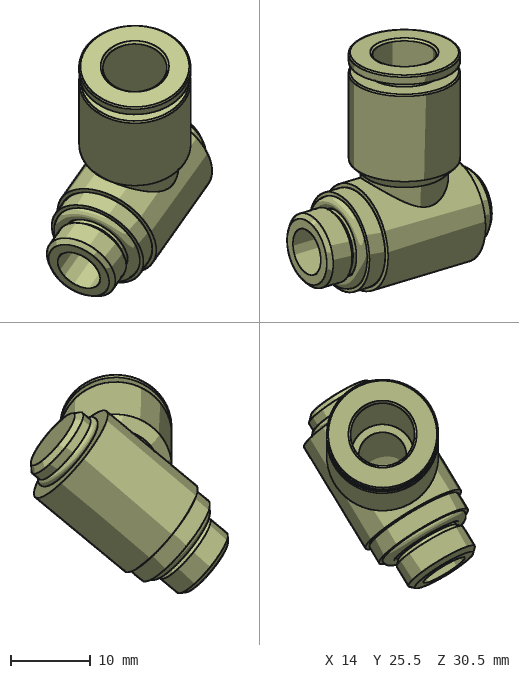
import cadquery as cq


bore_diameter = 6.0

body_diameter = 14.0
body_half_length = 7.5

thread_end_y = -15.0
thread_diameter = 9.73
thread_minor_diameter = 8.57
thread_chamfer = (thread_diameter - thread_minor_diameter) / 2
thread_start_y = -10.95
flange_diameter = 13.0
flange_face_y = -10.0
flange_chamfer = 0.1
seal_ring_diameter = 12.0
seal_ring_section = 1.6
seal_ring_y = -10.1

spigot_diameter = 9.85
spigot_end_y = 10.5
spigot_chamfer = 0.75
spigot_ring_diameter = 10.85
spigot_ring_section = 1.05
spigot_ring_y = 8.0

stem_diameter = 11.0
barrel_diameter = 14.0
barrel_taper = (barrel_diameter - stem_diameter) / 2
taper_bottom_z = 7.4
barrel_bottom_z = taper_bottom_z + barrel_taper
barrel_top_z = 20.85
rim_chamfer = 0.2
collar_diameter = 9.2
button_thickness = 1.2
button_top_z = 23.5
tube_bore_diameter = 8.0
tube_bore_mouth_diameter = 8.57
tube_bore_chamfer = (tube_bore_mouth_diameter - tube_bore_diameter) / 2


def cylinder_y(diameter, start_y, end_y):
    """Cylinder on the Y axis between two stations."""
    base = cq.Workplane("XZ", origin=(0, start_y, 0))
    return base.circle(diameter / 2).extrude(start_y - end_y)


def cylinder_z(diameter, bottom_z, top_z):
    """Cylinder on the Z axis between two heights."""
    base = cq.Workplane("XY", origin=(0, 0, bottom_z))
    return base.circle(diameter / 2).extrude(top_z - bottom_z)


def ring_y(outer_diameter, section_diameter, centre_y):
    """O-ring about the Y axis, with its surface seam on the inner side."""
    section_radius = section_diameter / 2
    pitch_radius = outer_diameter / 2 - section_radius
    section = cq.Workplane("XY").center(-pitch_radius, centre_y).circle(section_radius)
    return section.revolve(360, (pitch_radius, 0), (pitch_radius, 1))


def make_threaded_end():
    flange = cylinder_y(flange_diameter, flange_face_y, -body_half_length)
    flange = flange.faces(">Y").chamfer(flange_chamfer)
    undercut = cylinder_y(thread_minor_diameter, thread_start_y, flange_face_y)
    thread = cylinder_y(thread_diameter, thread_end_y, thread_start_y)
    thread = thread.faces("<Y or >Y").chamfer(thread_chamfer)
    seal_ring = ring_y(seal_ring_diameter, seal_ring_section, seal_ring_y)
    return flange.union(undercut).union(thread).union(seal_ring)


def make_spigot():
    spigot = cylinder_y(spigot_diameter, body_half_length, spigot_end_y)
    spigot = spigot.faces(">Y").chamfer(spigot_chamfer)
    ring = ring_y(spigot_ring_diameter, spigot_ring_section, spigot_ring_y)
    return spigot.union(ring)


def make_branch():
    stem = cylinder_z(stem_diameter, 0, barrel_bottom_z)
    barrel = cylinder_z(barrel_diameter, taper_bottom_z, barrel_top_z)
    barrel = barrel.faces("<Z").chamfer(barrel_taper)
    barrel = barrel.faces(">Z").chamfer(rim_chamfer)
    collar = cylinder_z(collar_diameter, barrel_top_z, button_top_z)
    button = cylinder_z(barrel_diameter, button_top_z - button_thickness, button_top_z)
    button = button.faces(">Z").chamfer(rim_chamfer)
    return stem.union(barrel).union(collar).union(button)


def make_bores():
    """Elbow passage with a spherical turn, opening into the tube socket."""
    run_bore = cylinder_y(bore_diameter, thread_end_y, 0)
    branch_bore = cylinder_z(bore_diameter, 0, button_top_z)
    turn = cq.Workplane("XY").sphere(bore_diameter / 2)
    tube_socket = cylinder_z(tube_bore_diameter, barrel_bottom_z, button_top_z)
    return run_bore.union(branch_bore).union(turn).union(tube_socket)


def chamfer_tube_mouth(fitting):
    mouth_edge = fitting.faces(">Z").edges(cq.selectors.RadiusNthSelector(0))
    return mouth_edge.chamfer(tube_bore_chamfer)


body = cylinder_y(body_diameter, -body_half_length, body_half_length)
outside = body.union(make_threaded_end()).union(make_spigot()).union(make_branch())
fitting = outside.cut(make_bores())
result = chamfer_tube_mouth(fitting)